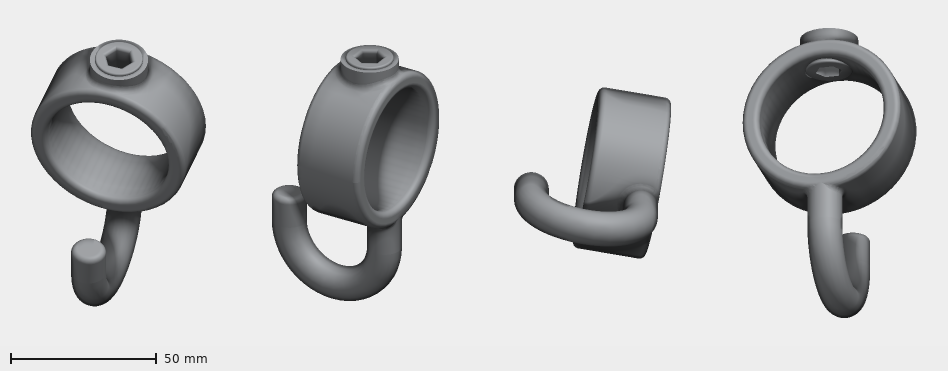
import cadquery as cq
import math

ring_diameter = 56.0
bore_diameter = 44.0
wall = (ring_diameter - bore_diameter) / 2
edge_radius = wall / 3

hook_diameter = 2 * wall
hook_reach = 50.0
ring_width = hook_reach / 2
bend_radius = (hook_reach - hook_diameter) / 2
bend_z = -39.0
stem_y = (ring_width - hook_diameter) / 2
tip_y = stem_y - 2 * bend_radius
tip_z = -ring_diameter / 2
stem_root_z = -(bore_diameter + wall) / 2
stem_fillet_margin = 0.3

total_height = 97.5
screw_top_z = total_height - hook_reach / 2 + bend_z
boss_diameter = 20.0
boss_y = 0.6
screw_proud = 1.0
boss_top_z = screw_top_z - screw_proud
boss_root_z = (bore_diameter + wall) / 2
screw_diameter = 16.5
screw_face_diameter = 15.2
screw_edge_radius = (screw_diameter - screw_face_diameter) / 2
screw_length = 13.0
screw_bottom_z = screw_top_z - screw_length
socket_flats = 8.2
socket_corners = socket_flats / math.cos(math.pi / 6)
socket_edge_radius = 1.2


def cylinder(diameter, y, z_low, z_high):
    """Vertical cylinder on the plane x = 0."""
    base = cq.Workplane("XY", origin=(0, y, z_low))
    return base.circle(diameter / 2).extrude(z_high - z_low)


def rounded_ring():
    """Ring with both rims rounded inside and outside."""
    ring = (
        cq.Workplane("XZ")
        .circle(ring_diameter / 2)
        .circle(bore_diameter / 2)
        .extrude(ring_width / 2, both=True)
    )
    return ring.edges().fillet(edge_radius)


def junction_edges(body, z_low, z_high, y_back):
    """Edges in front of y_back where a round shank meets the outside of the ring."""
    zone_width = ring_diameter / 2
    zone = cq.selectors.BoxSelector(
        (-zone_width / 2, -ring_width, z_low),
        (zone_width / 2, y_back, z_high),
        boundingbox=True,
    )
    return body.edges(zone)


def add_boss(ring):
    """Add the screw boss on top, filleted into the ring."""
    boss = cylinder(boss_diameter, boss_y, boss_root_z, boss_top_z)
    body = ring.union(boss)
    edges = junction_edges(body, bore_diameter / 2, boss_top_z - screw_proud, ring_width)
    return edges.fillet(edge_radius)


def hook():
    """J-shaped bar with a rounded tip."""
    path = (
        cq.Workplane("YZ")
        .moveTo(stem_y, stem_root_z)
        .lineTo(stem_y, bend_z)
        .threePointArc((stem_y - bend_radius, bend_z - bend_radius), (tip_y, bend_z))
        .lineTo(tip_y, tip_z)
    )
    section = cq.Workplane("XY", origin=(0, stem_y, stem_root_z)).circle(hook_diameter / 2)
    tip_face = cq.NearestToPointSelector((0, tip_y, tip_z))
    return section.sweep(path).faces(tip_face).edges().fillet(edge_radius)


def filleted_stem(ring):
    """Ring and straight stem with the fillet between them, cut just short of the back face."""
    fillet_end_y = ring_width / 2 - stem_fillet_margin
    stem = cylinder(hook_diameter, stem_y, bend_z, stem_root_z)
    keep = cq.Workplane("XY").box(total_height, ring_width, total_height)
    keep = keep.translate((0, -stem_fillet_margin, 0))
    body = ring.union(stem).intersect(keep)
    edges = junction_edges(body, bend_z + hook_diameter / 2, -bore_diameter / 2, fillet_end_y)
    return edges.fillet(edge_radius)


def make_housing():
    """Ring, boss and hook in one piece, bored for the set screw."""
    ring = rounded_ring()
    body = add_boss(ring).union(hook()).union(filleted_stem(ring))
    return body.cut(cylinder(screw_diameter, boss_y, 0, boss_top_z)).solids()


def make_set_screw():
    """Plug with rounded ends and a hexagon socket right through it."""
    screw = cylinder(screw_diameter, boss_y, screw_bottom_z, screw_top_z)
    screw = screw.faces("<Z or >Z").edges().fillet(screw_edge_radius)
    socket = (
        cq.Workplane("XY", origin=(0, boss_y, screw_bottom_z))
        .polygon(6, socket_corners)
        .extrude(screw_length)
    )
    screw = screw.cut(socket)
    return screw.faces(">Z").edges("%LINE").fillet(socket_edge_radius).solids()


housing = make_housing()
set_screw = make_set_screw()

result = cq.Compound.makeCompound([housing.val(), set_screw.val()])